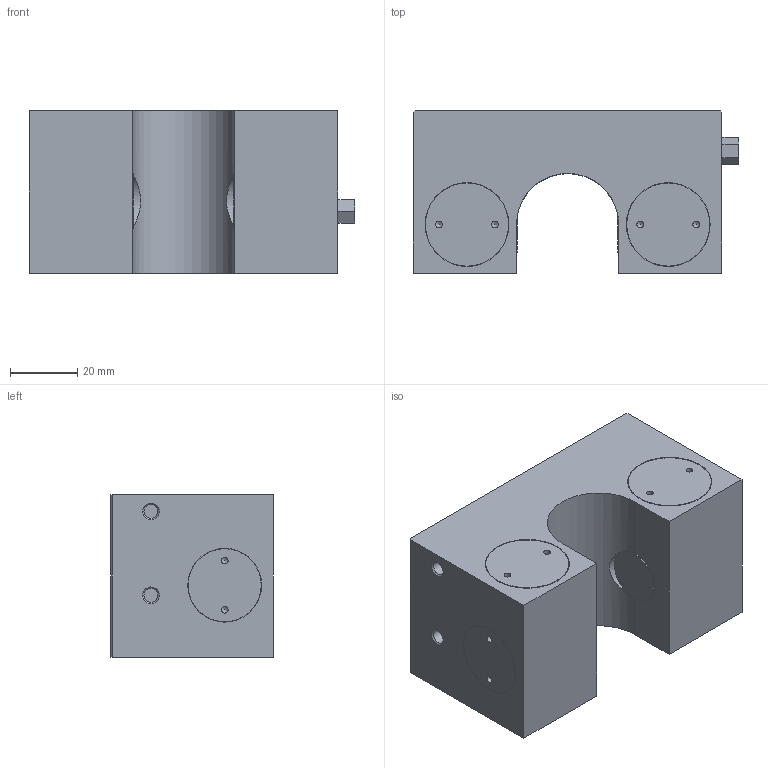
import cadquery as cq
import math

BLOCK_LENGTH = 92.0
BLOCK_SIDE = 48.5
BACK_EDGE_CHAMFER = 0.5

AXIS_Y = 14.5
SLOT_WIDTH = 30.5
SLOT_RADIUS = SLOT_WIDTH / 2

PISTON_Z = 21.5
PISTON_DIAMETER = 16.5
PISTON_PROTRUSION = 0.3
PISTON_GAP = SLOT_WIDTH - 2 * PISTON_PROTRUSION
PISTON_ROOT = 1.0

TOP_COVER_BORE = 25.0
TOP_COVER_X = 30.0
SIDE_COVER_BORE = 22.0
COVER_CLEARANCE = 0.1
COVER_GAP_DEPTH = 0.1
PIN_SPACING_RATIO = 2 / 3
PIN_DIAMETER = 2.0
PIN_DEPTH = 2.0
PIN_TIP_DEPTH = 0.6

PORT_Y = 36.5
LOWER_PORT_Z = 18.5
PORT_SPACING = 25.0
PORT_DIAMETER = 4.13
PORT_MOUTH_DIAMETER = 5.0
PORT_DEPTH = 10.0
HEX_ACROSS_FLATS = 7.0
HEX_ACROSS_CORNERS = HEX_ACROSS_FLATS / math.cos(math.radians(30))
HEX_LENGTH = 5.0


def make_block():
    block = cq.Workplane("XY").box(BLOCK_LENGTH, BLOCK_SIDE, BLOCK_SIDE, centered=(True, False, False))
    return block.edges("|Z and >Y").chamfer(BACK_EDGE_CHAMFER)


def make_slot():
    return (
        cq.Workplane("XY")
        .moveTo(-SLOT_RADIUS, 0)
        .lineTo(-SLOT_RADIUS, AXIS_Y)
        .threePointArc((0, AXIS_Y + SLOT_RADIUS), (SLOT_RADIUS, AXIS_Y))
        .lineTo(SLOT_RADIUS, 0)
        .close()
        .extrude(BLOCK_SIDE)
    )


def piston_cylinder(length):
    """Cylinder on the piston axis, centred in the slot."""
    plane = cq.Workplane("YZ", origin=(0, AXIS_Y, PISTON_Z))
    return plane.circle(PISTON_DIAMETER / 2).extrude(length / 2, both=True)


def add_pistons(body):
    """Open the bore into the rounded slot wall, leaving both piston faces proud of the flat walls."""
    bore = piston_cylinder(PISTON_GAP)
    pistons = piston_cylinder(SLOT_WIDTH + 2 * PISTON_ROOT).cut(bore)
    return body.cut(bore).union(pistons)


def revolve_about_axis(plane, profile):
    """Revolve (radius, depth) points about the plane normal; depth runs into the part."""
    points = [(radius, -depth) for radius, depth in profile]
    section = cq.Plane(origin=plane.origin, xDir=plane.xDir, normal=-plane.yDir)
    return cq.Workplane(section).polyline(points).close().revolve(360, (0, 0), (0, 1))


def make_cover_cut(plane, bore):
    """Annular gap and pin holes; the pin holes lie along the plane's local X."""
    gap = (
        cq.Workplane(plane)
        .circle(bore / 2)
        .circle(bore / 2 - COVER_CLEARANCE)
        .extrude(-COVER_GAP_DEPTH)
    )
    pin_profile = [
        (0, 0),
        (PIN_DIAMETER / 2, 0),
        (PIN_DIAMETER / 2, PIN_DEPTH),
        (0, PIN_DEPTH + PIN_TIP_DEPTH),
    ]
    cut = gap
    for side in (-1, 1):
        pin_centre = plane.toWorldCoords((side * bore * PIN_SPACING_RATIO / 2, 0, 0))
        pin_plane = cq.Plane(origin=pin_centre, xDir=plane.xDir, normal=plane.zDir)
        cut = cut.union(revolve_about_axis(pin_plane, pin_profile))
    return cut


def left_face_plane(y, z):
    """Plane on the left face facing outwards, local X pointing up."""
    return cq.Plane(origin=(-BLOCK_LENGTH / 2, y, z), xDir=(0, 0, 1), normal=(-1, 0, 0))


def top_face_plane(x):
    return cq.Plane(origin=(x, AXIS_Y, BLOCK_SIDE), xDir=(1, 0, 0), normal=(0, 0, 1))


def make_port(z):
    """Blind port with a 45 degree countersunk mouth."""
    radius = PORT_DIAMETER / 2
    mouth_radius = PORT_MOUTH_DIAMETER / 2
    profile = [
        (0, 0),
        (mouth_radius, 0),
        (radius, mouth_radius - radius),
        (radius, PORT_DEPTH),
        (0, PORT_DEPTH),
    ]
    return revolve_about_axis(left_face_plane(PORT_Y, z), profile)


def make_bleed_hexagon():
    """Hexagon with flats facing up and down."""
    plane = cq.Workplane("YZ", origin=(BLOCK_LENGTH / 2, PORT_Y, LOWER_PORT_Z))
    return plane.polygon(6, HEX_ACROSS_CORNERS).extrude(HEX_LENGTH)


result = add_pistons(make_block().cut(make_slot()))

for cover_x in (-TOP_COVER_X, TOP_COVER_X):
    result = result.cut(make_cover_cut(top_face_plane(cover_x), TOP_COVER_BORE))
result = result.cut(make_cover_cut(left_face_plane(AXIS_Y, PISTON_Z), SIDE_COVER_BORE))

for port_z in (LOWER_PORT_Z, LOWER_PORT_Z + PORT_SPACING):
    result = result.cut(make_port(port_z))

result = result.union(make_bleed_hexagon())